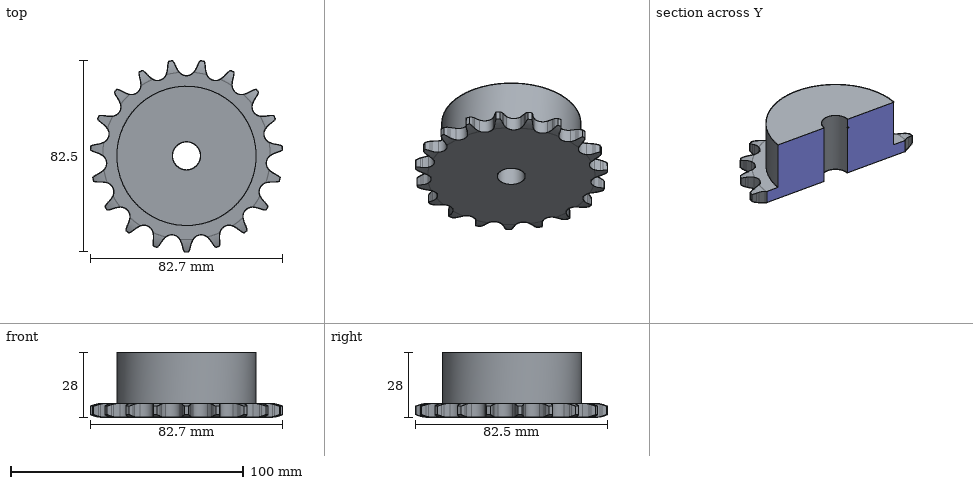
import cadquery as cq
import math

TEETH = 19
CHAIN_PITCH = 12.7
ROLLER_DIAMETER = 7.92

TIP_RADIUS = 41.45
PLATE_THICKNESS = 6.0
TOTAL_HEIGHT = 28.0
HUB_DIAMETER = 60.0
BORE_DIAMETER = 12.0

RIM_FLAT_RADIUS = 36.05
RIM_ROUND_RADIUS = CHAIN_PITCH

HALF_STEP = math.pi / TEETH
PITCH_RADIUS = CHAIN_PITCH / 2 / math.sin(HALF_STEP)

SEAT_RADIUS = (1.005 * ROLLER_DIAMETER + 0.076) / 2
SEAT_ANGLE = math.radians(35 + 60 / TEETH)
WORKING_ANGLE = math.radians(18 - 56 / TEETH)
WORKING_OFFSET = 0.8 * ROLLER_DIAMETER
TOPPING_OFFSET = 1.4 * ROLLER_DIAMETER

CUTTER_OVERRUN = 4.0


def polar(radius, angle):
    return cq.Vector(radius * math.cos(angle), radius * math.sin(angle))


def xy(point):
    return (point.x, point.y)


def mirror_xy(point):
    return (-point.x, point.y)


def arc_middle(center, start, end):
    """Point midway along the short arc from start to end about center."""
    radius = (start - center).Length
    return center + ((start + end) * 0.5 - center).normalized() * radius


def tip_circle_crossing(center, radius):
    """Point where a circle meets the tip circle, on the counterclockwise side of its center."""
    distance = center.Length
    cosine = (TIP_RADIUS**2 + distance**2 - radius**2) / (2 * TIP_RADIUS * distance)
    center_angle = math.atan2(center.y, center.x)
    return polar(TIP_RADIUS, center_angle + math.acos(cosine))


def tooth_gap():
    """Cutter for one gap between teeth, opening along +Y and symmetric about the Y axis."""
    seat_center = cq.Vector(0, PITCH_RADIUS)
    seat_bottom = seat_center - cq.Vector(0, SEAT_RADIUS)
    seat_end = seat_center + polar(SEAT_RADIUS, -SEAT_ANGLE)

    working_center = seat_center - polar(WORKING_OFFSET, -SEAT_ANGLE)
    working_radius = WORKING_OFFSET + SEAT_RADIUS
    working_end_angle = WORKING_ANGLE - SEAT_ANGLE
    working_end = working_center + polar(working_radius, working_end_angle)
    working_middle = arc_middle(working_center, seat_end, working_end)

    topping_center = seat_center + polar(TOPPING_OFFSET, -HALF_STEP)
    topping_radius = (topping_center - working_end).dot(polar(1, working_end_angle))
    topping_start = topping_center - polar(topping_radius, working_end_angle)
    tip = tip_circle_crossing(topping_center, topping_radius)
    topping_middle = arc_middle(topping_center, topping_start, tip)

    outer = tip + tip.normalized() * CUTTER_OVERRUN
    return (
        cq.Workplane("XY")
        .moveTo(*mirror_xy(outer))
        .lineTo(*mirror_xy(tip))
        .threePointArc(mirror_xy(topping_middle), mirror_xy(topping_start))
        .lineTo(*mirror_xy(working_end))
        .threePointArc(mirror_xy(working_middle), mirror_xy(seat_end))
        .threePointArc(xy(seat_bottom), xy(seat_end))
        .threePointArc(xy(working_middle), xy(working_end))
        .lineTo(*xy(topping_start))
        .threePointArc(xy(topping_middle), xy(tip))
        .lineTo(*xy(outer))
        .close()
        .extrude(PLATE_THICKNESS)
    )


def rim_blank():
    """Disc whose rim is rounded on both faces by arcs tangent to the faces."""
    run = TIP_RADIUS - RIM_FLAT_RADIUS
    drop = RIM_ROUND_RADIUS - math.sqrt(RIM_ROUND_RADIUS**2 - run**2)
    half_angle = math.asin(run / RIM_ROUND_RADIUS) / 2
    middle_radius = RIM_FLAT_RADIUS + RIM_ROUND_RADIUS * math.sin(half_angle)
    middle_drop = RIM_ROUND_RADIUS * (1 - math.cos(half_angle))
    return (
        cq.Workplane("XZ")
        .lineTo(RIM_FLAT_RADIUS, 0)
        .threePointArc((middle_radius, middle_drop), (TIP_RADIUS, drop))
        .lineTo(TIP_RADIUS, PLATE_THICKNESS - drop)
        .threePointArc(
            (middle_radius, PLATE_THICKNESS - middle_drop),
            (RIM_FLAT_RADIUS, PLATE_THICKNESS),
        )
        .lineTo(0, PLATE_THICKNESS)
        .close()
        .revolve(360, (0, 0), (0, 1))
    )


def toothed_plate():
    plate = rim_blank()
    gap = tooth_gap()
    for i in range(TEETH):
        plate = plate.cut(gap.rotate((0, 0, 0), (0, 0, 1), 360 * i / TEETH))
    return plate


def cylinder(diameter):
    """Full-height cylinder on the sprocket axis."""
    return cq.Workplane("XY").circle(diameter / 2).extrude(TOTAL_HEIGHT)


result = toothed_plate().union(cylinder(HUB_DIAMETER)).cut(cylinder(BORE_DIAMETER))